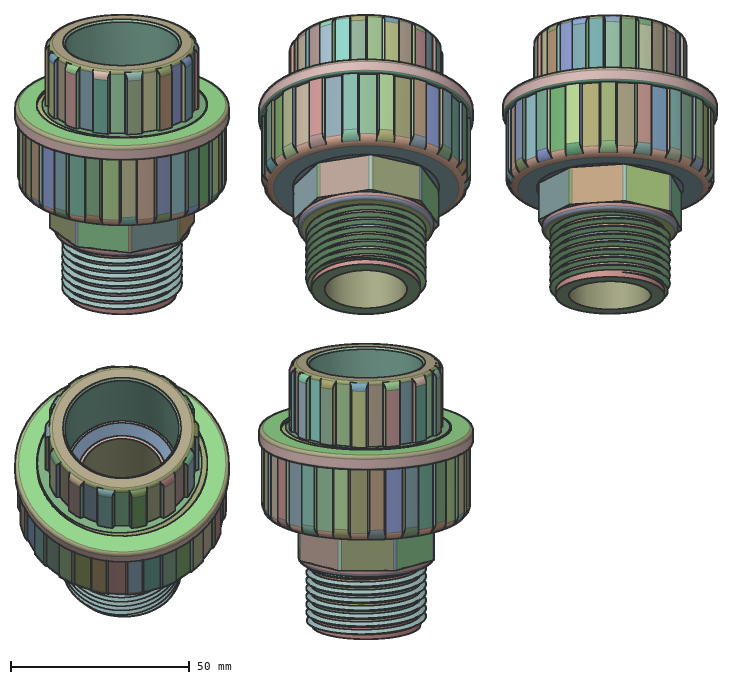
import cadquery as cq
import math

TOTAL_HEIGHT = 76.25
THREAD_START_Z = 1.5
SHOULDER_Z = 18.9
OCTAGON_BOTTOM_Z = 20.9
NUT_BOTTOM_Z = 31.9
LIP_TOP_Z = 36.6
FLANGE_BOTTOM_Z = 53.1
NUT_TOP_Z = 57.35

FLANGE_DIAMETER = 60.0
FLANGE_TOP_FILLET = 1.0
FLANGE_BOTTOM_FILLET = 0.5
NUT_RIB_DIAMETER = 58.4
NUT_WALL_DIAMETER = 56.95
NUT_RIB_ROUNDING = 3.65
NUT_WALL_ROUNDING = 2.5
NUT_RIB_COUNT = 18
NUT_BORE_DIAMETER = 47.8
LIP_HOLE_DIAMETER = 41.1

SOCKET_RIB_DIAMETER = 43.0
SOCKET_WALL_DIAMETER = 41.1
SOCKET_RIB_ROUNDING = 2.5
SOCKET_WALL_ROUNDING = 1.0
SOCKET_RIB_COUNT = 14
BEVEL_HEIGHT = 0.8
BEVEL_TOP_DIAMETER = 46.05
BEVEL_TOP_SHIFT = 0.7
MOUTH_DIAMETER = 33.1
MOUTH_CHAMFER = 0.6
SOCKET_DEPTH = 21.95
SOCKET_END_DIAMETER = 31.6
CONE_TOP_DIAMETER = 30.3
CONE_BOTTOM_DIAMETER = 25.0

RIB_FACE_WIDTH = 4.05
RIB_ROOT_WIDTH = 5.0
RIB_BAR_DEPTH_BELOW_WALL = 4.6
RIB_BAR_OVERSHOOT = 0.4

BORE_DIAMETER = 23.0
SHOULDER_DIAMETER = 38.0
SHOULDER_FILLET = 1.0
OCTAGON_ACROSS_FLATS = 37.8
OCTAGON_SIDES = 8
OCTAGON_EDGE_FILLET = 1.3
THREAD_CORE_DIAMETER = 30.5
THREAD_CREST_DIAMETER = 33.6
SEVEN_TURNS_HEIGHT = 16.2
THREAD_PITCH = SEVEN_TURNS_HEIGHT / 7
THREAD_ANGLE = 55.0
THREAD_ROOT_OVERLAP = 0.15
THREAD_PHASE_Z = -1.75

SOCKET_FLOOR_Z = TOTAL_HEIGHT - SOCKET_DEPTH
JOINT_Z = SOCKET_FLOOR_Z - (CONE_TOP_DIAMETER - CONE_BOTTOM_DIAMETER) / 2


def cylinder(diameter, bottom_z, top_z):
    return cq.Workplane("XY", origin=(0, 0, bottom_z)).circle(diameter / 2).extrude(top_z - bottom_z)


def cone(bottom_diameter, top_diameter, bottom_z, top_z, top_shift=0.0):
    """Round frustum whose upper circle can be shifted along X."""
    return (
        cq.Workplane("XY", origin=(0, 0, bottom_z))
        .circle(bottom_diameter / 2)
        .workplane(offset=top_z - bottom_z)
        .center(top_shift, 0)
        .circle(top_diameter / 2)
        .loft(ruled=True)
    )


def rib_bars(count, wall_diameter, rib_diameter, bottom_z, top_z):
    """Tapered bars around the axis, one of them facing -Y, reaching past the rib diameter."""
    taper = (RIB_ROOT_WIDTH - RIB_FACE_WIDTH) / (rib_diameter - wall_diameter)
    inner_radius = wall_diameter / 2 - RIB_BAR_DEPTH_BELOW_WALL
    outer_radius = rib_diameter / 2 + RIB_BAR_OVERSHOOT
    inner_half = RIB_ROOT_WIDTH / 2
    outer_half = RIB_FACE_WIDTH / 2 - taper * RIB_BAR_OVERSHOOT
    bar = (
        cq.Workplane("XY", origin=(0, 0, bottom_z))
        .polyline(
            [
                (-inner_half, -inner_radius),
                (-inner_half, -wall_diameter / 2),
                (-outer_half, -outer_radius),
                (outer_half, -outer_radius),
                (inner_half, -wall_diameter / 2),
                (inner_half, -inner_radius),
            ]
        )
        .close()
        .extrude(top_z - bottom_z)
    )
    bars = cq.Workplane("XY")
    for i in range(count):
        bars.add(bar.rotate((0, 0, 0), (0, 0, 1), i * 360 / count))
    return bars.combine()


def ribbed_barrel(count, wall, ribbed, wall_diameter, rib_diameter, bottom_z, top_z):
    """Plain wall joined with the part of the larger ribbed blank that lies inside the rib bars."""
    bars = rib_bars(count, wall_diameter, rib_diameter, bottom_z, top_z)
    return wall.union(ribbed.intersect(bars))


def make_nut():
    wall = cylinder(NUT_WALL_DIAMETER, NUT_BOTTOM_Z, FLANGE_BOTTOM_Z)
    wall = wall.faces("<Z").edges().fillet(NUT_WALL_ROUNDING)
    ribbed = cylinder(NUT_RIB_DIAMETER, NUT_BOTTOM_Z, FLANGE_BOTTOM_Z)
    ribbed = ribbed.faces("<Z").edges().fillet(NUT_RIB_ROUNDING)
    barrel = ribbed_barrel(
        NUT_RIB_COUNT, wall, ribbed, NUT_WALL_DIAMETER, NUT_RIB_DIAMETER, NUT_BOTTOM_Z, FLANGE_BOTTOM_Z
    )
    flange = cylinder(FLANGE_DIAMETER, FLANGE_BOTTOM_Z, NUT_TOP_Z)
    flange = flange.faces(">Z").edges().fillet(FLANGE_TOP_FILLET)
    flange = flange.faces("<Z").edges().fillet(FLANGE_BOTTOM_FILLET)
    nut = barrel.union(flange)
    nut = nut.cut(cylinder(NUT_BORE_DIAMETER, LIP_TOP_Z, NUT_TOP_Z))
    return nut.cut(cylinder(LIP_HOLE_DIAMETER, NUT_BOTTOM_Z, LIP_TOP_Z))


def socket_cavity():
    """Tapered pipe socket with a chamfered mouth, a narrow floor ledge and a cone below it."""
    mouth_z = TOTAL_HEIGHT - MOUTH_CHAMFER
    socket_top_diameter = MOUTH_DIAMETER - 2 * MOUTH_CHAMFER
    cavity = cone(CONE_BOTTOM_DIAMETER, CONE_TOP_DIAMETER, JOINT_Z, SOCKET_FLOOR_Z)
    cavity = cavity.union(cone(SOCKET_END_DIAMETER, socket_top_diameter, SOCKET_FLOOR_Z, mouth_z))
    return cavity.union(cone(socket_top_diameter, MOUTH_DIAMETER, mouth_z, TOTAL_HEIGHT))


def make_socket_end():
    wall = cylinder(SOCKET_WALL_DIAMETER, NUT_TOP_Z, TOTAL_HEIGHT)
    wall = wall.faces(">Z").edges().fillet(SOCKET_WALL_ROUNDING)
    ribbed = cylinder(SOCKET_RIB_DIAMETER, NUT_TOP_Z, TOTAL_HEIGHT)
    ribbed = ribbed.faces(">Z").edges().fillet(SOCKET_RIB_ROUNDING)
    barrel = ribbed_barrel(
        SOCKET_RIB_COUNT, wall, ribbed, SOCKET_WALL_DIAMETER, SOCKET_RIB_DIAMETER, NUT_TOP_Z, TOTAL_HEIGHT
    )
    bevel_z = NUT_TOP_Z - BEVEL_HEIGHT
    collar = cylinder(NUT_BORE_DIAMETER, JOINT_Z, bevel_z)
    collar = collar.union(cone(NUT_BORE_DIAMETER, BEVEL_TOP_DIAMETER, bevel_z, NUT_TOP_Z, BEVEL_TOP_SHIFT))
    return barrel.union(collar).cut(socket_cavity())


def make_thread():
    """Right-handed V-thread ridge, trimmed flat at both ends and sunk slightly into its core."""
    root_radius = THREAD_CORE_DIAMETER / 2 - THREAD_ROOT_OVERLAP
    crest_radius = THREAD_CREST_DIAMETER / 2
    half_width = (crest_radius - root_radius) * math.tan(math.radians(THREAD_ANGLE / 2))
    helix_height = SHOULDER_Z - THREAD_PHASE_Z + THREAD_PITCH
    helix = cq.Wire.makeHelix(THREAD_PITCH, helix_height, root_radius, cq.Vector(0, 0, THREAD_PHASE_Z))
    ridge = (
        cq.Workplane("XZ")
        .polyline(
            [
                (root_radius, THREAD_PHASE_Z - half_width),
                (crest_radius, THREAD_PHASE_Z),
                (root_radius, THREAD_PHASE_Z + half_width),
            ]
        )
        .close()
        .sweep(cq.Workplane(helix), isFrenet=True)
    )
    return ridge.intersect(cylinder(THREAD_CREST_DIAMETER + THREAD_PITCH, THREAD_START_Z, SHOULDER_Z))


def make_threaded_end():
    octagon = (
        cq.Workplane("XY", origin=(0, 0, OCTAGON_BOTTOM_Z))
        .polygon(OCTAGON_SIDES, OCTAGON_ACROSS_FLATS, circumscribed=True)
        .extrude(NUT_BOTTOM_Z - OCTAGON_BOTTOM_Z)
        .edges("|Z")
        .fillet(OCTAGON_EDGE_FILLET)
    )
    shoulder = cylinder(SHOULDER_DIAMETER, SHOULDER_Z, OCTAGON_BOTTOM_Z)
    shoulder = shoulder.faces("<Z").edges().fillet(SHOULDER_FILLET)
    body = cylinder(THREAD_CORE_DIAMETER, 0, SHOULDER_Z).union(make_thread())
    body = body.union(shoulder).union(octagon)
    body = body.union(cylinder(LIP_HOLE_DIAMETER, NUT_BOTTOM_Z, LIP_TOP_Z))
    body = body.union(cylinder(NUT_BORE_DIAMETER, LIP_TOP_Z, JOINT_Z))
    return body.cut(cylinder(BORE_DIAMETER, 0, JOINT_Z))


nut = make_nut()
socket_end = make_socket_end()
threaded_end = make_threaded_end()

result = cq.Compound.makeCompound(
    [
        nut.solids().val(),
        socket_end.solids().val(),
        threaded_end.solids().val(),
    ]
)